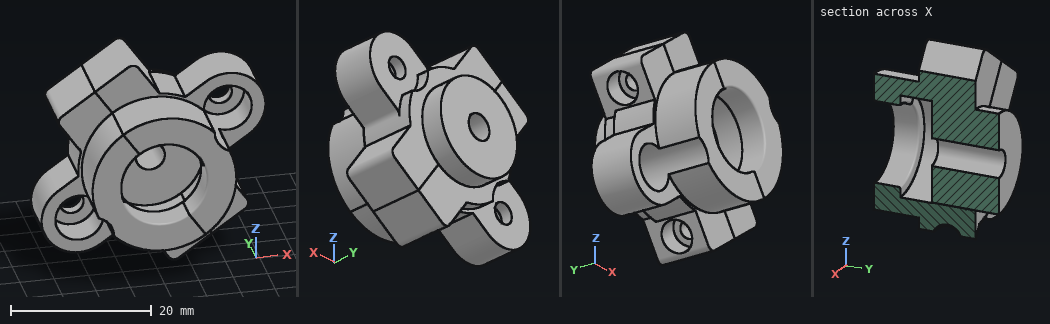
import cadquery as cq
import math

tilt = 35.0

nose_length = 7.1
flange_depth = 9.02
boss_length = 3.7
ear_depth = 7.0

nose_diameter = 20.98
flange_diameter = 20.8
collar_diameter = 21.95
boss_diameter = 15.6
center_hole_diameter = 4.2

bore_diameter = 12.5
lip_length = 4.25
lip_fillet = 0.33
chamber_length = 4.95

overall_width = 32.68
ear_distance = 13.2
ear_radius = overall_width / 2 - ear_distance * math.cos(math.radians(tilt))
ear_hole_diameter = 3.43
ear_bore_diameter = 7.0
ear_bore_depth = 5.0
ear_root_fillet = 1.0
rear_relief_diameter = 8.4

block_half_width = 7.0
block_reach = 14.9
block_fillet = 1.1
bolt_distance = 11.3
bolt_hole_diameter = 2.7
bolt_head_diameter = 5.0
bolt_head_depth = 3.43

nose_front = -nose_length
chamber_front = nose_front + lip_length
chamber_floor = chamber_front + chamber_length
boss_back = flange_depth + boss_length
clip_size = 2 * overall_width


def cylinder(diameter, y_start, y_end, x=0.0):
    """Cylinder along Y, centred at (x, Z = 0)."""
    return (
        cq.Workplane("XZ", origin=(x, y_start, 0))
        .circle(diameter / 2)
        .extrude(y_start - y_end)
    )


def half_space(side):
    """Large box on one side (+1 or -1) of the plane X = 0."""
    return cq.Workplane("XY").box(clip_size, clip_size, clip_size).translate((side * clip_size / 2, 0, 0))


def make_bolt_blocks():
    """One rounded bar through the axis forms the upper and lower bolt block."""
    return (
        cq.Workplane("XY")
        .box(2 * block_half_width, flange_depth, 2 * block_reach)
        .translate((0, flange_depth / 2, 0))
        .edges("|Y")
        .fillet(block_fillet)
    )


def make_ears():
    """Round-ended bar with concave fillets where it leaves the flange."""
    bar = (
        cq.Workplane("XZ")
        .slot2D(2 * (ear_distance + ear_radius), 2 * ear_radius)
        .extrude(-ear_depth)
    )
    flange_radius = flange_diameter / 2
    center_distance = flange_radius + ear_root_fillet
    center_z = ear_radius + ear_root_fillet
    center_x = math.sqrt(center_distance**2 - center_z**2)
    tangent_x = center_x * flange_radius / center_distance
    tangent_z = center_z * flange_radius / center_distance
    toward_flange = math.atan2(-center_z, -center_x)
    toward_bar = -math.pi / 2
    middle = (toward_flange + toward_bar) / 2
    middle_x = center_x + ear_root_fillet * math.cos(middle)
    middle_z = center_z + ear_root_fillet * math.sin(middle)
    web = (
        cq.Workplane("XZ")
        .moveTo(0, 0)
        .lineTo(center_x, 0)
        .lineTo(center_x, ear_radius)
        .threePointArc((middle_x, middle_z), (tangent_x, tangent_z))
        .close()
        .extrude(-ear_depth)
    )
    webs = web.union(web.mirror("XY"))
    return bar.union(webs).union(webs.mirror("YZ"))


def make_collar():
    """Raised band around the flange, absent from the quarter at +X, -Z."""
    open_quarter = (
        cq.Workplane("XY")
        .box(clip_size, clip_size, clip_size)
        .translate((clip_size / 2, 0, -clip_size / 2))
    )
    return cylinder(collar_diameter, 0, ear_depth).cut(open_quarter)


def make_bore():
    """Lip bore, rounded at both ends, and the chamber with the boss recess behind it."""
    bore_radius = bore_diameter / 2
    mouth_radius = bore_radius + lip_fillet
    shift = lip_fillet * (1 - math.sqrt(0.5))
    profile = (
        cq.Workplane("XY")
        .moveTo(0, nose_front)
        .lineTo(mouth_radius, nose_front)
        .threePointArc((bore_radius + shift, nose_front + shift), (bore_radius, nose_front + lip_fillet))
        .lineTo(bore_radius, chamber_front - lip_fillet)
        .threePointArc((bore_radius + shift, chamber_front - shift), (mouth_radius, chamber_front))
        .lineTo(boss_diameter / 2, chamber_front)
        .lineTo(boss_diameter / 2, flange_depth)
        .lineTo(0, flange_depth)
        .close()
    )
    return profile.revolve(360, (0, 0, 0), (0, 1, 0))


def cut_ear_holes(body):
    """Stepped ear holes; their bores notch the nose, and wider reliefs notch the flange behind the ears."""
    for x in (-ear_distance, ear_distance):
        body = body.cut(cylinder(ear_hole_diameter, 0, ear_depth, x))
        body = body.cut(cylinder(ear_bore_diameter, nose_front, ear_bore_depth, x))
        body = body.cut(cylinder(rear_relief_diameter, ear_depth, flange_depth, x))
    return body


def cut_bolt_holes(body):
    """Bolt holes along X through the -X half up to the parting plane, with head recesses."""
    for z in (-bolt_distance, bolt_distance):
        start = cq.Workplane("YZ", origin=(-block_half_width, flange_depth / 2, z))
        body = body.cut(start.circle(bolt_hole_diameter / 2).extrude(block_half_width))
        body = body.cut(start.circle(bolt_head_diameter / 2).extrude(bolt_head_depth))
    return body


def make_shell():
    """Complete clamp around the bore, before it is split into halves."""
    shell = (
        cylinder(flange_diameter, 0, flange_depth)
        .union(cylinder(nose_diameter, nose_front, 0))
        .union(make_bolt_blocks())
        .union(make_ears())
        .union(make_collar())
    )
    return cut_bolt_holes(cut_ear_holes(shell)).cut(make_bore())


def make_main_half(shell):
    """+X half, which carries the complete boss with its centre hole."""
    boss = cylinder(boss_diameter, chamber_floor, boss_back)
    center_hole = cylinder(center_hole_diameter, chamber_floor, boss_back)
    return shell.intersect(half_space(1)).union(boss).cut(center_hole)


def make_cover_half(shell):
    """-X half, which closes around the chamber and the boss."""
    return shell.intersect(half_space(-1))


def turn(body):
    """Turn a body about Y so that its +X ear rises toward +Z."""
    return body.rotate((0, 0, 0), (0, 1, 0), -tilt)


clamp_shell = make_shell()
main_half = turn(make_main_half(clamp_shell))
cover_half = turn(make_cover_half(clamp_shell))

result = cq.Compound.makeCompound([main_half.solids().val(), cover_half.solids().val()])